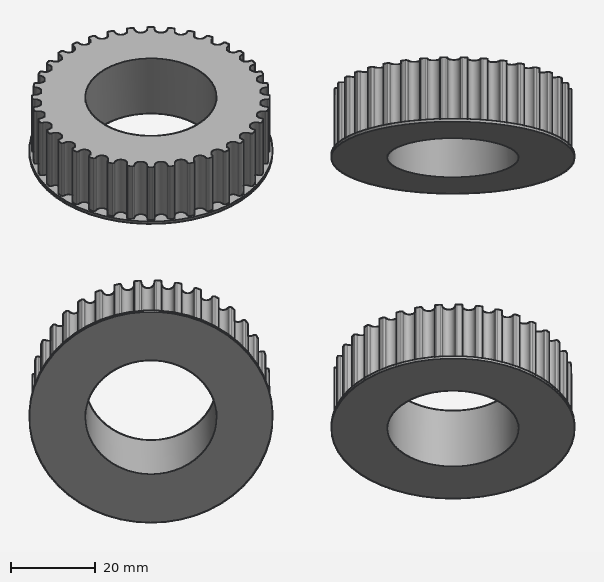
import cadquery as cq
import math

tooth_count = 36
belt_pitch = 5.0
pitch_line_offset = 0.5715

bore_diameter = 31.0
flange_diameter = 57.49
flange_thickness = 0.75
total_height = 16.15

groove_floor_depth = 2.14
groove_root_radius = 1.5
groove_neck_half_width = 1.54
tooth_corner_radius = 0.43

tip_radius = tooth_count * belt_pitch / (2 * math.pi) - pitch_line_offset
tooth_height = total_height - flange_thickness
groove_mouth_half_width = groove_neck_half_width + tooth_corner_radius
cutter_overlap = 1.0


def make_blank():
    """Flange with the untoothed cylinder on top."""
    flange = cq.Workplane("XY").circle(flange_diameter / 2).extrude(flange_thickness)
    body = cq.Workplane("XY").workplane(offset=flange_thickness).circle(tip_radius).extrude(tooth_height)
    return flange.union(body)


def make_groove_cutter():
    """Round-bottomed groove on the +X side, with rounded tooth corners at its mouth."""
    mouth_x = math.sqrt(tip_radius**2 - groove_mouth_half_width**2)
    neck_x = mouth_x - tooth_corner_radius
    floor_x = tip_radius - groove_floor_depth
    root_x = floor_x + groove_root_radius
    outer_x = tip_radius + cutter_overlap

    corner_reach = tooth_corner_radius * math.sin(math.radians(45))
    corner_x = neck_x + corner_reach
    corner_y = groove_mouth_half_width - corner_reach

    return (
        cq.Workplane("XY")
        .workplane(offset=flange_thickness)
        .moveTo(outer_x, -groove_mouth_half_width)
        .lineTo(mouth_x, -groove_mouth_half_width)
        .threePointArc((corner_x, -corner_y), (neck_x, -groove_neck_half_width))
        .lineTo(root_x, -groove_root_radius)
        .threePointArc((floor_x, 0), (root_x, groove_root_radius))
        .lineTo(neck_x, groove_neck_half_width)
        .threePointArc((corner_x, corner_y), (mouth_x, groove_mouth_half_width))
        .lineTo(outer_x, groove_mouth_half_width)
        .close()
        .extrude(tooth_height)
    )


def cut_grooves(part):
    """Cut one groove per tooth, evenly spaced around the axis."""
    cutter = make_groove_cutter()
    for index in range(tooth_count):
        angle = index * 360 / tooth_count
        part = part.cut(cutter.rotate((0, 0, 0), (0, 0, 1), angle))
    return part


def cut_bore(part):
    """Plain bore through the full height."""
    bore = cq.Workplane("XY").circle(bore_diameter / 2).extrude(total_height)
    return part.cut(bore)


result = cut_bore(cut_grooves(make_blank()))